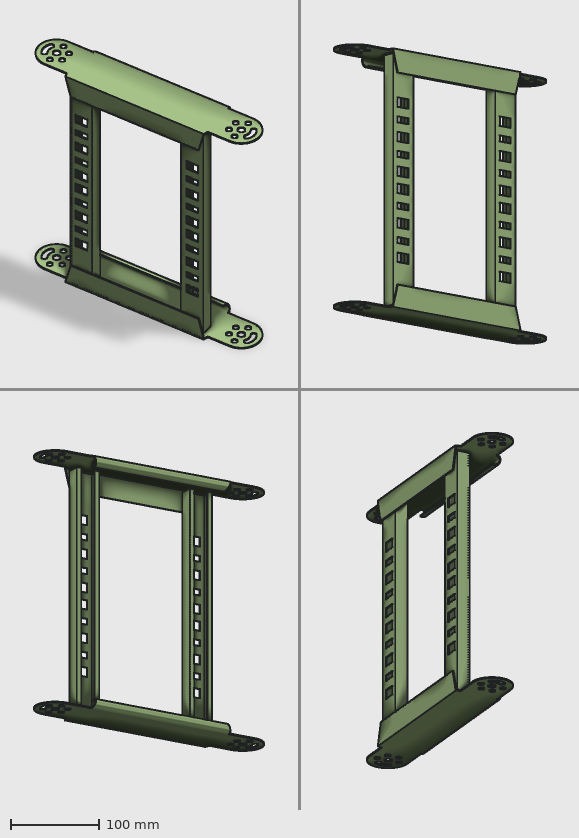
import cadquery as cq
import math

FRAME_HEIGHT = 300.0
SHEET = 1.5
FLANGE_TAPER = math.radians(15.0)

PIVOT_SPACING = 250.0
EAR_RADIUS = 24.0
EAR_Y = 30.0
EAR_FRONT = EAR_Y - EAR_RADIUS
EAR_BACK = EAR_Y + EAR_RADIUS

FLANGE_HALF_WIDTH = 93.75
FLANGE_HEIGHT = 27.0

HOOK_HALF_WIDTH = 91.5
HOOK_RADIUS = 6.0
HOOK_LIP = 3.0
HOOK_TAPER = math.radians(20.0)

PIVOT_HOLE_DIAMETER = 9.0
INDEX_HOLE_DIAMETER = 7.0
INDEX_RADIUS = 14.0
INDEX_ANGLES = (-90.0, -30.0, 30.0, 90.0)
ARC_SLOT_WIDTH = 7.0
ARC_SLOT_HALF_ANGLE = math.radians(30.0)

UPRIGHT_WIDTH = 30.0
UPRIGHT_DEPTH = 16.0
UPRIGHT_SPACING = 150.0
UPRIGHT_FRONT = 4.5
UPRIGHT_END_GAP = 4.0
UPRIGHT_LIP = 6.0

WINDOW_WIDTH = 16.0
WINDOW_PITCH = 20.0
TALL = 11.0
SHORT = 7.0
WINDOW_HEIGHTS = (TALL, SHORT, TALL, SHORT, TALL, TALL, SHORT, TALL, SHORT, TALL)


def tapered_edge_blank(half_width, height, taper, y_start, y_end):
    """Block whose sides lean inwards as it rises from the plate's outer face."""
    top_half_width = half_width - height * math.tan(taper)
    return (
        cq.Workplane("XZ", origin=(0, y_start, 0))
        .polyline([
            (-half_width, 0),
            (half_width, 0),
            (top_half_width, height),
            (-top_half_width, height),
        ])
        .close()
        .extrude(y_start - y_end)
    )


def flat_web():
    """Round-ended web, widened at the front where the flange bends off."""
    length = PIVOT_SPACING + 2 * EAR_RADIUS
    web = cq.Workplane("XY", origin=(0, EAR_Y, 0)).slot2D(length, 2 * EAR_RADIUS).extrude(SHEET)
    root_half_width = FLANGE_HALF_WIDTH + EAR_FRONT * math.tan(FLANGE_TAPER)
    tongue = (
        cq.Workplane("XY")
        .polyline([
            (-FLANGE_HALF_WIDTH, 0),
            (FLANGE_HALF_WIDTH, 0),
            (root_half_width, EAR_FRONT),
            (root_half_width, EAR_Y),
            (-root_half_width, EAR_Y),
            (-root_half_width, EAR_FRONT),
        ])
        .close()
        .extrude(SHEET)
    )
    return web.union(tongue)


def rolled_hook():
    """Rear edge rolled through a half circle, ending in a short lip facing forwards."""
    inner_radius = HOOK_RADIUS - SHEET
    lip_end = EAR_BACK - HOOK_LIP
    roll = (
        cq.Workplane("YZ", origin=(-HOOK_HALF_WIDTH, 0, 0))
        .moveTo(EAR_Y, 0)
        .lineTo(EAR_BACK, 0)
        .threePointArc((EAR_BACK + HOOK_RADIUS, HOOK_RADIUS), (EAR_BACK, 2 * HOOK_RADIUS))
        .lineTo(lip_end, 2 * HOOK_RADIUS)
        .lineTo(lip_end, 2 * HOOK_RADIUS - SHEET)
        .lineTo(EAR_BACK, 2 * HOOK_RADIUS - SHEET)
        .threePointArc((EAR_BACK + inner_radius, HOOK_RADIUS), (EAR_BACK, SHEET))
        .lineTo(EAR_Y, SHEET)
        .close()
        .extrude(2 * HOOK_HALF_WIDTH)
    )
    hook_height = 2 * HOOK_RADIUS
    hook_back = EAR_BACK + HOOK_RADIUS
    blank = tapered_edge_blank(HOOK_HALF_WIDTH, hook_height, HOOK_TAPER, EAR_Y, hook_back)
    return roll.intersect(blank)


def ear_holes(side):
    """Cutters for one ear: pivot hole, index holes and the outer arc slot (side is -1 or 1)."""
    centre_x = side * PIVOT_SPACING / 2
    index_points = [
        (
            -side * INDEX_RADIUS * math.cos(math.radians(angle)),
            INDEX_RADIUS * math.sin(math.radians(angle)),
        )
        for angle in INDEX_ANGLES
    ]
    plane = cq.Workplane("XY", origin=(centre_x, EAR_Y, 0))
    round_holes = (
        plane.circle(PIVOT_HOLE_DIAMETER / 2).extrude(SHEET)
        .union(plane.pushPoints(index_points).circle(INDEX_HOLE_DIAMETER / 2).extrude(SHEET))
    )

    def slot_point(radius, angle):
        return (side * radius * math.cos(angle), radius * math.sin(angle))

    outer = INDEX_RADIUS + ARC_SLOT_WIDTH / 2
    inner = INDEX_RADIUS - ARC_SLOT_WIDTH / 2
    end_angle = ARC_SLOT_HALF_ANGLE
    cap_angle = end_angle + 2 * math.asin(ARC_SLOT_WIDTH / 4 / INDEX_RADIUS)
    arc_slot = (
        plane
        .moveTo(*slot_point(outer, -end_angle))
        .threePointArc(slot_point(outer, 0), slot_point(outer, end_angle))
        .threePointArc(slot_point(INDEX_RADIUS, cap_angle), slot_point(inner, end_angle))
        .threePointArc(slot_point(inner, 0), slot_point(inner, -end_angle))
        .threePointArc(slot_point(INDEX_RADIUS, -cap_angle), slot_point(outer, -end_angle))
        .close()
        .extrude(SHEET)
    )
    return round_holes.union(arc_slot)


def end_plate():
    """Bottom end plate: outer face on Z = 0, flange and hook pointing up."""
    flange = tapered_edge_blank(FLANGE_HALF_WIDTH, FLANGE_HEIGHT, FLANGE_TAPER, 0, SHEET)
    plate = flat_web().union(flange).union(rolled_hook())
    for side in (-1, 1):
        plate = plate.cut(ear_holes(side))
    return plate


def upright(centre_x):
    """Lipped C channel with a ladder of windows through its front wall."""
    height = FRAME_HEIGHT - 2 * UPRIGHT_END_GAP
    base = cq.Workplane("XY", origin=(centre_x, UPRIGHT_FRONT, UPRIGHT_END_GAP))
    channel = base.center(0, UPRIGHT_DEPTH / 2).rect(UPRIGHT_WIDTH, UPRIGHT_DEPTH).extrude(height)
    inside = (
        base.center(0, UPRIGHT_DEPTH / 2)
        .rect(UPRIGHT_WIDTH - 2 * SHEET, UPRIGHT_DEPTH - 2 * SHEET)
        .extrude(height)
    )
    rear_opening = (
        base.center(0, UPRIGHT_DEPTH - SHEET / 2)
        .rect(UPRIGHT_WIDTH - 2 * UPRIGHT_LIP, SHEET)
        .extrude(height)
    )
    channel = channel.cut(inside).cut(rear_opening)

    first_z = FRAME_HEIGHT / 2 - WINDOW_PITCH * (len(WINDOW_HEIGHTS) - 1) / 2
    for index, window_height in enumerate(WINDOW_HEIGHTS):
        window_centre = (centre_x, UPRIGHT_FRONT + SHEET / 2, first_z + index * WINDOW_PITCH)
        window = cq.Workplane("XY", origin=window_centre).box(WINDOW_WIDTH, SHEET, window_height)
        channel = channel.cut(window)
    return channel


bottom_plate = end_plate()
top_plate = bottom_plate.mirror("XY", (0, 0, FRAME_HEIGHT / 2))
uprights = [upright(side * UPRIGHT_SPACING / 2) for side in (-1, 1)]

result = cq.Compound.makeCompound([
    bottom_plate.val(),
    top_plate.val(),
    *[channel.val() for channel in uprights],
])